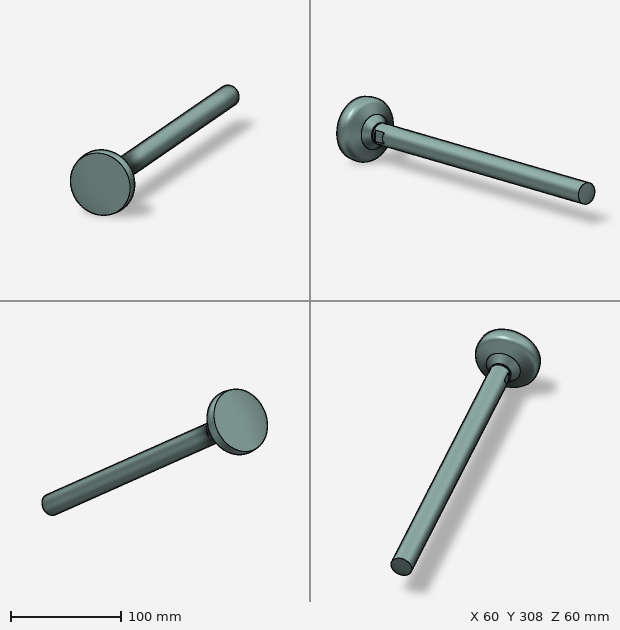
import cadquery as cq
import math

total_length = 308.0

foot_diameter = 60.0
foot_radius = foot_diameter / 2
sole_radius = 29.3
rim_start = 5.5
rim_end = 8.3
shoulder_radius = 6.8
shoulder_slope = math.radians(25)
neck_base_radius = 16.3
foot_height = 26.0
neck_top_radius = 10.0

spindle_diameter = 20.0
spindle_radius = spindle_diameter / 2
end_chamfer_length = 2.0
end_radius = 9.0
flat_start = 30.0
flat_length = 11.0
across_flats = 17.0


def make_foot():
    """Revolved foot: flared rim, rounded shoulder, shallow cone and steeper neck."""
    centre_radius = foot_radius - shoulder_radius

    def shoulder_point(angle):
        return (centre_radius + shoulder_radius * math.cos(angle),
                rim_end + shoulder_radius * math.sin(angle))

    end_angle = math.pi / 2 - shoulder_slope
    shoulder_end = shoulder_point(end_angle)
    neck_base_height = shoulder_end[1] + (shoulder_end[0] - neck_base_radius) * math.tan(shoulder_slope)

    return (
        cq.Workplane("XY")
        .moveTo(0, 0)
        .lineTo(sole_radius, 0)
        .lineTo(foot_radius, rim_start)
        .lineTo(foot_radius, rim_end)
        .threePointArc(shoulder_point(end_angle / 2), shoulder_end)
        .lineTo(neck_base_radius, neck_base_height)
        .lineTo(neck_top_radius, foot_height)
        .lineTo(0, foot_height)
        .close()
        .revolve(360, (0, 0), (0, 1))
    )


def make_spindle():
    """Round spindle standing on the foot, with a tapered end and two wrench flats."""
    spindle = (
        cq.Workplane("XY")
        .moveTo(0, foot_height)
        .lineTo(end_radius, foot_height)
        .lineTo(spindle_radius, foot_height + end_chamfer_length)
        .lineTo(spindle_radius, total_length)
        .lineTo(0, total_length)
        .close()
        .revolve(360, (0, 0), (0, 1))
    )
    return cut_wrench_flats(spindle)


def cut_wrench_flats(spindle):
    """Mill one flat on each X side of the spindle."""
    cutter_size = spindle_diameter
    for side in (-1, 1):
        cutter = cq.Workplane("XY").box(cutter_size, flat_length, cutter_size).translate(
            (side * (across_flats + cutter_size) / 2, flat_start + flat_length / 2, 0)
        )
        spindle = spindle.cut(cutter)
    return spindle


foot = make_foot()
spindle = make_spindle()

result = cq.Compound.makeCompound([foot.val(), spindle.val()])